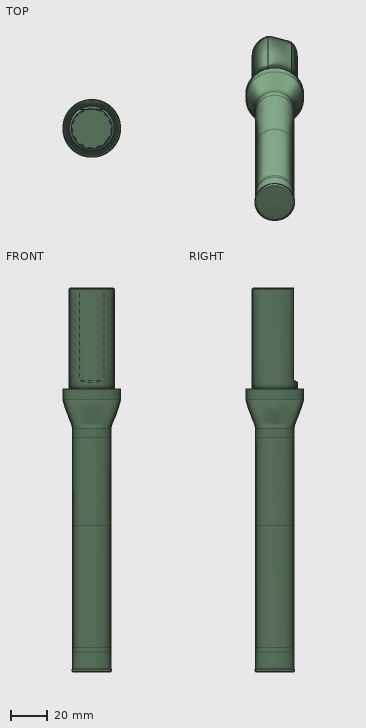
import cadquery as cq
import math

total_length = 213.0
shank_length = 56.0
flange_top_z = total_length - shank_length

tip_diameter = 22.0
tip_nose_radius = 1.0

body_diameter = 21.45
relief_diameter = 21.23
head_length = 9.4
head_taper_length = 2.6
relief_length = 67.4
back_taper_length = 48.8
collar_length = 5.2

flange_diameter = 32.0
flange_thickness = 5.9

flare_top_angle = 14.0
flare_top_pull = 11.6
flare_bottom_pull = 3.2

shank_diameter = 24.99
shank_chamfer_width = 1.2
shank_chamfer_angle = 30.0
shank_chamfer_height = shank_chamfer_width * math.tan(math.radians(shank_chamfer_angle))
flat_distance = 10.5
flat_start_height = 4.7
flat_runout_angle = 30.0

body_radius = body_diameter / 2
relief_radius = relief_diameter / 2
flange_radius = flange_diameter / 2
shank_radius = shank_diameter / 2
tip_radius = tip_diameter / 2

nose_centre_radius = tip_radius - tip_nose_radius
tip_height = tip_nose_radius + math.sqrt(tip_nose_radius**2 - (body_radius - nose_centre_radius) ** 2)

head_bottom_z = tip_height
head_top_z = head_bottom_z + head_length
relief_bottom_z = head_top_z + head_taper_length
relief_top_z = relief_bottom_z + relief_length
collar_bottom_z = relief_top_z + back_taper_length
collar_top_z = collar_bottom_z + collar_length
flange_bottom_z = flange_top_z - flange_thickness


def turned_holder():
    """Drill body, flared neck, flange and round shank as one revolved profile."""
    flare_top_inset = flare_top_pull * math.sin(math.radians(flare_top_angle))
    flare_top_drop = flare_top_pull * math.cos(math.radians(flare_top_angle))
    return (
        cq.Workplane("XZ")
        .moveTo(0, head_bottom_z)
        .lineTo(body_radius, head_bottom_z)
        .lineTo(body_radius, head_top_z)
        .lineTo(relief_radius, relief_bottom_z)
        .lineTo(relief_radius, relief_top_z)
        .lineTo(body_radius, collar_bottom_z)
        .lineTo(body_radius, collar_top_z)
        .bezier(
            [
                (body_radius, collar_top_z + flare_bottom_pull),
                (flange_radius - flare_top_inset, flange_bottom_z - flare_top_drop),
                (flange_radius, flange_bottom_z),
            ],
            includeCurrent=True,
        )
        .lineTo(flange_radius, flange_top_z)
        .lineTo(shank_radius, flange_top_z)
        .lineTo(shank_radius, total_length - shank_chamfer_height)
        .lineTo(shank_radius - shank_chamfer_width, total_length)
        .lineTo(0, total_length)
        .close()
        .revolve(360, (0, 0, 0), (0, 1, 0))
    )


def clamping_flat_cutter():
    """Block that cuts the flat on the +Y side, with a sloping lower end."""
    depth = flange_radius - flat_distance
    start_z = flange_top_z + flat_start_height
    outer_start_z = start_z - depth * math.tan(math.radians(flat_runout_angle))
    return (
        cq.Workplane("YZ")
        .moveTo(flat_distance, start_z)
        .lineTo(flange_radius, outer_start_z)
        .lineTo(flange_radius, total_length)
        .lineTo(flat_distance, total_length)
        .close()
        .extrude(shank_radius, both=True)
    )


def cutting_tip():
    """Thin disc under the drill body with a rounded rim that stands slightly proud of it."""
    return (
        cq.Workplane("XZ")
        .lineTo(nose_centre_radius, 0)
        .threePointArc((tip_radius, tip_nose_radius), (body_radius, tip_height))
        .lineTo(0, tip_height)
        .close()
        .revolve(360, (0, 0, 0), (0, 1, 0))
    )


holder = turned_holder().cut(clamping_flat_cutter())
tip = cutting_tip()

result = cq.Compound.makeCompound([holder.val(), tip.val()])